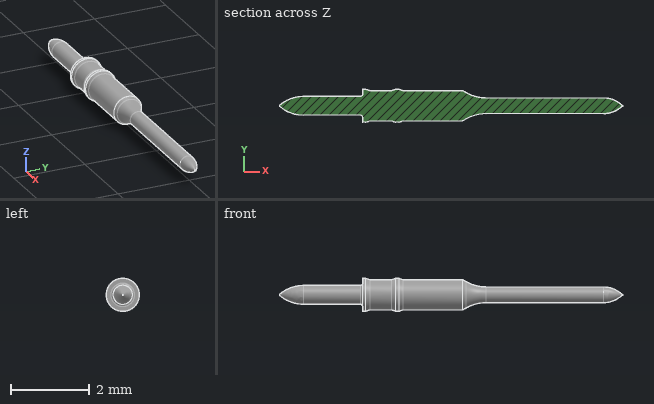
import cadquery as cq
import math

plunger_diameter = 0.49
body_diameter = 0.78
collar_diameter = 0.85
tail_diameter = 0.41
pip_diameter = 0.025
nose_flat_diameter = 0.025

overall_length = 8.76
shoulder_x = 2.12
bead_center_x = 3.005
tail_start_x = 5.26

plunger_nose_length = 0.62
shoulder_fillet = 0.055
front_crest_length = 0.08
bead_crest_length = 0.08
collar_slope_length = 0.105
tail_nose_length = 0.47
pip_length = 0.025

neck_sweep_radius = 1.0
neck_cone_angle = math.radians(30)

plunger_radius = plunger_diameter / 2
body_radius = body_diameter / 2
collar_radius = collar_diameter / 2
tail_radius = tail_diameter / 2
pip_radius = pip_diameter / 2
nose_flat_radius = nose_flat_diameter / 2
front_crest_end_x = shoulder_x + front_crest_length
bead_crest_start_x = bead_center_x - bead_crest_length / 2
bead_crest_end_x = bead_center_x + bead_crest_length / 2
tail_nose_end_x = overall_length - pip_length
tail_nose_start_x = tail_nose_end_x - tail_nose_length

neck_joint_x = tail_start_x - neck_sweep_radius * math.sin(neck_cone_angle)
neck_joint_radius = tail_radius + neck_sweep_radius * (1 - math.cos(neck_cone_angle))
body_end_x = neck_joint_x - (body_radius - neck_joint_radius) / math.tan(neck_cone_angle)


def add_plunger(outline):
    """Rounded nose and shaft, with a concave fillet rising to the shoulder face."""
    nose_rise = plunger_radius - nose_flat_radius
    nose_arc_radius = (plunger_nose_length**2 + nose_rise**2) / (2 * nose_rise)
    return (
        outline
        .lineTo(0, nose_flat_radius)
        .radiusArc((plunger_nose_length, plunger_radius), nose_arc_radius)
        .lineTo(shoulder_x - shoulder_fillet, plunger_radius)
        .radiusArc((shoulder_x, plunger_radius + shoulder_fillet), -shoulder_fillet)
    )


def add_body(outline):
    """Barrel with a sloped collar at the shoulder and a raised bead behind it."""
    return (
        outline
        .lineTo(shoulder_x, collar_radius)
        .lineTo(front_crest_end_x, collar_radius)
        .lineTo(front_crest_end_x + collar_slope_length, body_radius)
        .lineTo(bead_crest_start_x - collar_slope_length, body_radius)
        .lineTo(bead_crest_start_x, collar_radius)
        .lineTo(bead_crest_end_x, collar_radius)
        .lineTo(bead_crest_end_x + collar_slope_length, body_radius)
        .lineTo(body_end_x, body_radius)
    )


def add_tail(outline):
    """Flared neck, slender shaft, rounded nose and the small pip at its end."""
    return (
        outline
        .lineTo(neck_joint_x, neck_joint_radius)
        .tangentArcPoint((tail_start_x, tail_radius), relative=False)
        .lineTo(tail_nose_start_x, tail_radius)
        .tangentArcPoint((tail_nose_end_x, pip_radius), relative=False)
        .lineTo(overall_length, pip_radius)
        .lineTo(overall_length, 0)
    )


def build_pin():
    """Revolve the half outline about the X axis."""
    outline = cq.Workplane("XY").moveTo(0, 0)
    outline = add_tail(add_body(add_plunger(outline)))
    return outline.close().revolve(360, (0, 0, 0), (1, 0, 0))


result = build_pin()